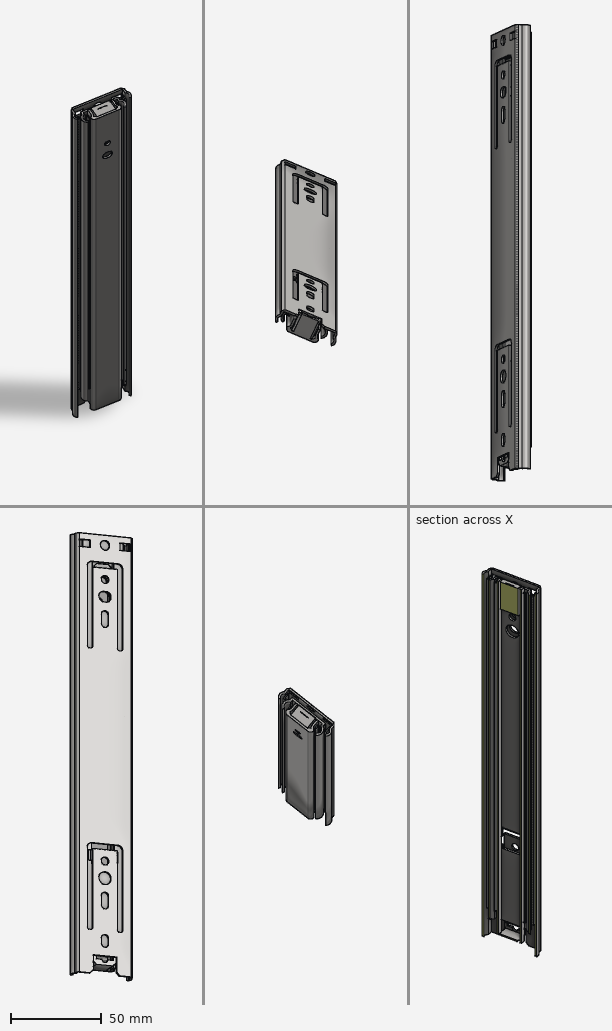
import cadquery as cq
import math

sheet = 1.2
cut_reach = 50.0
sides = (1, -1)

length = 250.0
outer_half_width = 18.0
outer_flange_y = 16.8
outer_corner = 1.5
outer_race_radius = 2.0
outer_ball_x = 6.2
outer_ball_y = outer_half_width - sheet - outer_race_radius
outer_lip_angle = 35.0

middle_web_x = 3.0
middle_arm_y = 11.8
middle_bottom = 13.8
middle_top = 247.5
inner_ball_x = 8.2
inner_ball_y = 10.0
hood_radius = 3.8
hood_end_angle = 25.0

depth = 12.8
inner_bottom = 5.2
inner_top = 249.0
inner_race_radius = 2.0
inner_flange_x = 4.5
inner_flange_y = inner_ball_y - inner_race_radius
inner_lip_y = 9.5
inner_corner = 2.2
inner_inside_end_angle = -52.0
inner_web_x = depth - sheet

pattern_tops = (234.5, 74.2)
arch_height = 49.5
arch_half_width = 10.5
arch_slot = 3.2
arch_corner = 3.0
arch_end_round = 1.2
pin_hole_drop = 9.8
pin_hole = 4.5
large_hole_drop = 19.5
large_hole = 7.2
large_slot_height = 6.0
tall_slot_drop = 32.2
tall_slot_height = 9.5
upright_slot_width = 4.2

top_hole = 5.5
top_hole_z = 244.2
low_slot_z = 19.0
low_slot_height = 7.2
corner_window_bottom = 242.2
corner_window_top = 246.5
corner_window_y = (8.8, 15.2)
notch_half_width = 7.0
notch_height = 10.5
notch_bevel = 1.8

middle_window_half_width = 6.8
middle_window_bottom = 63.0
middle_window_top = 77.5
side_window_half_width = 8.8
side_window_bottom = 65.0
side_window_top = 71.0
top_window_half_width = 6.5
top_window_top = 235.5
middle_large_hole = 8.2
inner_pin_hole = 3.5
inner_slot_width = 6.0
inner_slot_height = 4.8

rib_half_width = 5.0
rib_radius = 2.5
rib_z = 10.8

hook_x = 0.2
hook_half_width = 6.8
hook_top = 10.2
hook_corner = 1.8
hook_gap_half_width = 5.0
hook_gap_bottom = 8.5
hook_scallop_radius = 1.8

block_back_x = middle_web_x + sheet
block_half_width = 5.88
block_bottom = 230.0
boss_half_width = 4.8
boss_height = 0.8
boss_top = 234.5
boss_chamfer = 1.2
groove_x = 6.8
groove_width = 0.12
groove_length = 5.5
groove_depth = 0.8

cage_wall = 0.8
cage_bottom = 20.0
cage_top = 246.8
outer_cage_x = 2.8
outer_cage_y = (13.8, 15.2)
outer_cage_reach = 3.8
inner_cage_x = 6.0
inner_cage_y = (8.8, 10.2)
inner_cage_reach = 3.0


def on_circle(x, y, radius, degrees):
    """Point on a circle, with the angle measured from +X towards +Y."""
    angle = math.radians(degrees)
    return (x + radius * math.cos(angle), y + radius * math.sin(angle))


def left_of_circle(x, y, radius, level):
    """Point on the -X half of a circle at the given Y."""
    return (x - math.sqrt(radius**2 - (level - y) ** 2), level)


def rail(half_section, bottom, top):
    """Raise a closed section drawn for Y > 0, joined to its mirror image, between two heights."""
    half = half_section.extrude(top - bottom)
    return half.union(half.mirror("XZ")).translate((0, 0, bottom))


def box(x_range, y_range, z_range):
    """Box between pairs of limits."""
    low, high = zip(x_range, y_range, z_range)
    size = [b - a for a, b in zip(low, high)]
    return cq.Workplane("XY").box(*size, centered=False).translate(low)


def along_x(outline):
    """Cutter through everything along X, from an outline drawn on the YZ plane."""
    return outline.extrude(cut_reach / 2, both=True)


def hole(diameter, z):
    """Cutter for a round hole on the centre line."""
    return along_x(cq.Workplane("YZ").center(0, z).circle(diameter / 2))


def upright_slot(width, height, z):
    """Cutter for a round-ended slot lying along Z."""
    return along_x(cq.Workplane("YZ").center(0, z).slot2D(height, width, 90))


def cross_slot(width, height, z):
    """Cutter for a round-ended slot lying along Y."""
    return along_x(cq.Workplane("YZ").center(0, z).slot2D(width, height, 0))


def window(half_width, bottom, top):
    """Cutter for a square-cornered window on the centre line."""
    reach = (-cut_reach / 2, cut_reach / 2)
    return box(reach, (-half_width, half_width), (bottom, top))


def arch_slot_cutter(top):
    """Cutter for an arched slot: two legs with round lower ends, joined across the top."""
    bottom = top - arch_height
    inner_half_width = arch_half_width - arch_slot
    arch = window(arch_half_width, bottom, top)
    arch = arch.edges("|X and >Z").fillet(arch_corner)
    arch = arch.cut(window(inner_half_width, bottom, top - arch_slot))
    return arch.edges("|X and <Z").fillet(arch_end_round)


def outer_section():
    """Half of the outer rail: web, flange and outward-bulging ball race."""
    x, y = outer_ball_x, outer_ball_y
    outside = outer_race_radius + sheet
    return (
        cq.Workplane("XY")
        .lineTo(0, outer_flange_y - outer_corner)
        .lineTo(outer_corner, outer_flange_y)
        .lineTo(*left_of_circle(x, y, outside, outer_flange_y))
        .threePointArc((x, outer_half_width), on_circle(x, y, outside, outer_lip_angle))
        .lineTo(*on_circle(x, y, outer_race_radius, outer_lip_angle))
        .threePointArc(
            (x, y + outer_race_radius),
            left_of_circle(x, y, outer_race_radius, outer_flange_y - sheet),
        )
        .lineTo(sheet, outer_flange_y - sheet)
        .lineTo(sheet, 0)
        .close()
    )


def middle_section():
    """Half of the middle rail: web, arm and curled edge over the inner ball row."""
    x, y = inner_ball_x, inner_ball_y
    inside = hood_radius - sheet
    web_face = middle_web_x + sheet
    return (
        cq.Workplane("XY")
        .moveTo(middle_web_x, 0)
        .lineTo(middle_web_x, middle_arm_y)
        .lineTo(*left_of_circle(x, y, hood_radius, middle_arm_y))
        .threePointArc((x, y + hood_radius), on_circle(x, y, hood_radius, hood_end_angle))
        .lineTo(*on_circle(x, y, inside, hood_end_angle))
        .threePointArc((x, y + inside), left_of_circle(x, y, inside, middle_arm_y - sheet))
        .lineTo(web_face, middle_arm_y - sheet)
        .lineTo(web_face, 0)
        .close()
    )


def inner_section():
    """Half of the inner rail: web, rounded lip, hollow ball race and flange."""
    x, y = inner_ball_x, inner_ball_y
    outside = inner_race_radius + sheet
    lowest_angle = -90.0
    groove_edge_angle = -math.degrees(math.asin((y - inner_lip_y) / inner_race_radius))
    corner_middle = on_circle(depth - inner_corner, inner_lip_y - inner_corner, inner_corner, 45)
    return (
        cq.Workplane("XY")
        .moveTo(depth, 0)
        .lineTo(depth, inner_lip_y - inner_corner)
        .threePointArc(corner_middle, (depth - inner_corner, inner_lip_y))
        .lineTo(*on_circle(x, y, inner_race_radius, groove_edge_angle))
        .threePointArc(
            on_circle(x, y, inner_race_radius, (groove_edge_angle + lowest_angle) / 2),
            (x, inner_flange_y),
        )
        .lineTo(inner_flange_x, inner_flange_y)
        .lineTo(inner_flange_x, inner_flange_y - sheet)
        .lineTo(x, inner_flange_y - sheet)
        .threePointArc(
            on_circle(x, y, outside, (inner_inside_end_angle + lowest_angle) / 2),
            on_circle(x, y, outside, inner_inside_end_angle),
        )
        .lineTo(inner_web_x, block_half_width)
        .lineTo(inner_web_x, 0)
        .close()
    )


def mounting_pattern(top):
    """Cutter for one arched slot with its pin hole and tall slot."""
    return (
        arch_slot_cutter(top)
        .union(hole(pin_hole, top - pin_hole_drop))
        .union(upright_slot(upright_slot_width, tall_slot_height, top - tall_slot_drop))
    )


def lower_notch():
    """Cutter for the notch in the lower end, flaring at its mouth."""
    mouth = notch_half_width + notch_bevel
    outline = (
        cq.Workplane("YZ")
        .moveTo(-mouth, 0)
        .lineTo(-notch_half_width, notch_bevel)
        .lineTo(-notch_half_width, notch_height)
        .lineTo(notch_half_width, notch_height)
        .lineTo(notch_half_width, notch_bevel)
        .lineTo(mouth, 0)
        .close()
    )
    return along_x(outline)


def make_outer_rail():
    body = rail(outer_section(), 0, length)
    upper, lower = pattern_tops
    for top in pattern_tops:
        body = body.cut(mounting_pattern(top))
    body = body.cut(cross_slot(large_hole, large_slot_height, upper - large_hole_drop))
    body = body.cut(hole(large_hole, lower - large_hole_drop))
    body = body.cut(hole(top_hole, top_hole_z))
    body = body.cut(upright_slot(upright_slot_width, low_slot_height, low_slot_z))
    for side in sides:
        y_range = sorted(side * y for y in corner_window_y)
        body = body.cut(box((0, sheet), y_range, (corner_window_bottom, corner_window_top)))
    return body.cut(lower_notch())


def make_middle_rail():
    upper = pattern_tops[0]
    return (
        rail(middle_section(), middle_bottom, middle_top)
        .cut(hole(pin_hole, upper - pin_hole_drop))
        .cut(hole(middle_large_hole, upper - large_hole_drop))
        .cut(window(top_window_half_width, block_bottom, top_window_top))
        .cut(window(middle_window_half_width, middle_window_bottom, middle_window_top))
        .cut(window(side_window_half_width, side_window_bottom, side_window_top))
    )


def stop_rib():
    """Half-round rib across the inside of the inner rail's web."""
    rib = cq.Workplane("XZ").center(inner_web_x, rib_z).circle(rib_radius)
    rib = rib.extrude(rib_half_width, both=True)
    rib_depth = (inner_web_x - rib_radius, inner_web_x)
    return rib.intersect(
        box(rib_depth, (-rib_half_width, rib_half_width), (rib_z - rib_radius, rib_z + rib_radius))
    )


def end_hook():
    """Floor across the lower end, with a lip that is cut down and scalloped in the middle."""
    y_range = (-hook_half_width, hook_half_width)
    hook = box((hook_x, inner_web_x), y_range, (inner_bottom, hook_top))
    hook = hook.edges("|X and <Z").chamfer(hook_corner)
    hook = hook.cut(box((hook_x + sheet, inner_web_x), y_range, (inner_bottom + sheet, hook_top)))
    gap = window(hook_gap_half_width, hook_gap_bottom, hook_top)
    scallop = along_x(cq.Workplane("YZ").center(0, hook_gap_bottom).circle(hook_scallop_radius))
    return hook.cut(gap).cut(scallop)


def make_inner_rail():
    upper = pattern_tops[0]
    return (
        rail(inner_section(), inner_bottom, inner_top)
        .cut(hole(inner_pin_hole, upper - pin_hole_drop))
        .cut(cross_slot(inner_slot_width, inner_slot_height, upper - large_hole_drop))
        .union(stop_rib())
        .union(end_hook())
    )


def make_stop_block():
    """Block with a fine groove across its top and a bevelled boss set in the middle rail's window."""
    groove_half = groove_length / 2
    groove = box(
        (groove_x - groove_width / 2, groove_x + groove_width / 2),
        (-groove_half, groove_half),
        (inner_top - groove_depth, inner_top),
    )
    y_range = (-block_half_width, block_half_width)
    body = box((block_back_x, inner_web_x), y_range, (block_bottom, inner_top)).cut(groove)
    boss = box(
        (block_back_x - boss_height, block_back_x),
        (-boss_half_width, boss_half_width),
        (block_bottom, boss_top),
    )
    return body.union(boss.edges("|X and >Z").chamfer(boss_chamfer))


def on_side(body, side):
    """The body itself for +Y, or its mirror image for -Y."""
    return body if side > 0 else body.mirror("XZ")


def make_outer_cage(side):
    """Angle-shaped cage between the outer and middle rails, its short wall on the +X end."""
    z_range = (cage_bottom, cage_top)
    high = outer_cage_y[1]
    far_x = outer_cage_x + outer_cage_reach
    carrier = box((outer_cage_x, far_x), (high - cage_wall, high), z_range)
    end_wall = box((far_x - cage_wall, far_x), outer_cage_y, z_range)
    return on_side(carrier.union(end_wall), side)


def make_inner_cage(side):
    """Angle-shaped cage between the middle and inner rails, its short wall on the -X end."""
    z_range = (cage_bottom, cage_top)
    low = inner_cage_y[0]
    far_x = inner_cage_x + inner_cage_reach
    carrier = box((inner_cage_x, far_x), (low, low + cage_wall), z_range)
    end_wall = box((inner_cage_x, inner_cage_x + cage_wall), inner_cage_y, z_range)
    return on_side(carrier.union(end_wall), side)


outer_rail = make_outer_rail()
middle_rail = make_middle_rail()
inner_rail = make_inner_rail()
stop_block = make_stop_block()
outer_cages = [make_outer_cage(side).val() for side in sides]
inner_cages = [make_inner_cage(side).val() for side in sides]

result = cq.Compound.makeCompound(
    [
        outer_rail.val(),
        middle_rail.val(),
        inner_rail.val(),
        stop_block.val(),
        *outer_cages,
        *inner_cages,
    ]
)